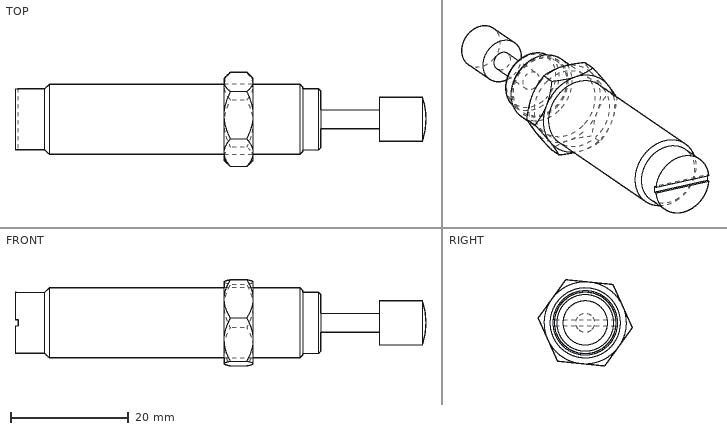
import cadquery as cq
import math

TOTAL_LENGTH = 70.0

BARREL_DIAMETER = 12.0
REAR_DIAMETER = 10.4
FRONT_DIAMETER = 10.5
REAR_SHOULDER_X = 5.0
REAR_BEVEL_LENGTH = 0.85
FRONT_SHOULDER_X = 49.0
BARREL_FRONT_CHAMFER = 0.5
HOUSING_END_X = 52.1
HOUSING_END_CHAMFER = 0.4
SLOT_WIDTH = 1.05
SLOT_DEPTH = 0.5

NUT_START_X = 35.55
NUT_THICKNESS = 5.0
NUT_ACROSS_FLATS = 14.0
NUT_TURN = 5.8
NUT_FACE_DIAMETER = 14.0
NUT_BEVEL_ANGLE = 45.0

ROD_DIAMETER = 3.2
CAP_DIAMETER = 7.55
CAP_START_X = 62.0
CAP_DOME_HEIGHT = 0.6


def axial_cylinder(diameter, start_x, end_x):
    """Cylinder on the X axis between two X positions."""
    return cq.Workplane("YZ", origin=(start_x, 0, 0)).circle(diameter / 2).extrude(end_x - start_x)


def make_housing():
    """Stepped round housing with a screwdriver slot across its rear end."""
    barrel_radius = BARREL_DIAMETER / 2
    front_radius = FRONT_DIAMETER / 2
    profile = (
        cq.Workplane("XY")
        .moveTo(0, 0)
        .lineTo(0, REAR_DIAMETER / 2)
        .lineTo(REAR_SHOULDER_X, REAR_DIAMETER / 2)
        .lineTo(REAR_SHOULDER_X + REAR_BEVEL_LENGTH, barrel_radius)
        .lineTo(FRONT_SHOULDER_X - BARREL_FRONT_CHAMFER, barrel_radius)
        .lineTo(FRONT_SHOULDER_X, barrel_radius - BARREL_FRONT_CHAMFER)
        .lineTo(FRONT_SHOULDER_X, front_radius)
        .lineTo(HOUSING_END_X - HOUSING_END_CHAMFER, front_radius)
        .lineTo(HOUSING_END_X, front_radius - HOUSING_END_CHAMFER)
        .lineTo(HOUSING_END_X, 0)
        .close()
    )
    body = profile.revolve(360, (0, 0, 0), (1, 0, 0))
    slot = cq.Workplane("XY").box(
        SLOT_DEPTH, BARREL_DIAMETER, SLOT_WIDTH, centered=(False, True, True)
    )
    return body.cut(slot)


def make_nut():
    """Hexagon nut with both faces bevelled at the corners, bored to fit the barrel."""
    across_corners = NUT_ACROSS_FLATS / math.cos(math.radians(30))
    corner_radius = across_corners / 2
    face_radius = NUT_FACE_DIAMETER / 2
    bevel_length = (corner_radius - face_radius) * math.tan(math.radians(NUT_BEVEL_ANGLE))
    end_x = NUT_START_X + NUT_THICKNESS

    hexagon = (
        cq.Workplane("YZ", origin=(NUT_START_X, 0, 0))
        .polygon(6, across_corners)
        .extrude(NUT_THICKNESS)
        .rotate((0, 0, 0), (1, 0, 0), -NUT_TURN)
    )
    bevel_envelope = (
        cq.Workplane("XY")
        .moveTo(NUT_START_X, 0)
        .lineTo(NUT_START_X, face_radius)
        .lineTo(NUT_START_X + bevel_length, corner_radius)
        .lineTo(end_x - bevel_length, corner_radius)
        .lineTo(end_x, face_radius)
        .lineTo(end_x, 0)
        .close()
        .revolve(360, (0, 0, 0), (1, 0, 0))
    )
    bore = axial_cylinder(BARREL_DIAMETER, NUT_START_X, end_x)
    return hexagon.intersect(bevel_envelope).cut(bore)


def make_plunger():
    """Rod carrying a cap with a spherical end; the rod meets the housing's front face."""
    rod_radius = ROD_DIAMETER / 2
    cap_radius = CAP_DIAMETER / 2
    dome_radius = (cap_radius**2 + CAP_DOME_HEIGHT**2) / (2 * CAP_DOME_HEIGHT)
    dome_center_x = TOTAL_LENGTH - dome_radius
    half_angle = math.asin(cap_radius / dome_radius) / 2
    dome_middle = (
        dome_center_x + dome_radius * math.cos(half_angle),
        dome_radius * math.sin(half_angle),
    )
    return (
        cq.Workplane("XY")
        .moveTo(HOUSING_END_X, 0)
        .lineTo(HOUSING_END_X, rod_radius)
        .lineTo(CAP_START_X, rod_radius)
        .lineTo(CAP_START_X, cap_radius)
        .lineTo(TOTAL_LENGTH - CAP_DOME_HEIGHT, cap_radius)
        .threePointArc(dome_middle, (TOTAL_LENGTH, 0))
        .close()
        .revolve(360, (0, 0, 0), (1, 0, 0))
    )


housing = make_housing()
nut = make_nut()
plunger = make_plunger()

result = cq.Compound.makeCompound([housing.val(), nut.val(), plunger.val()])